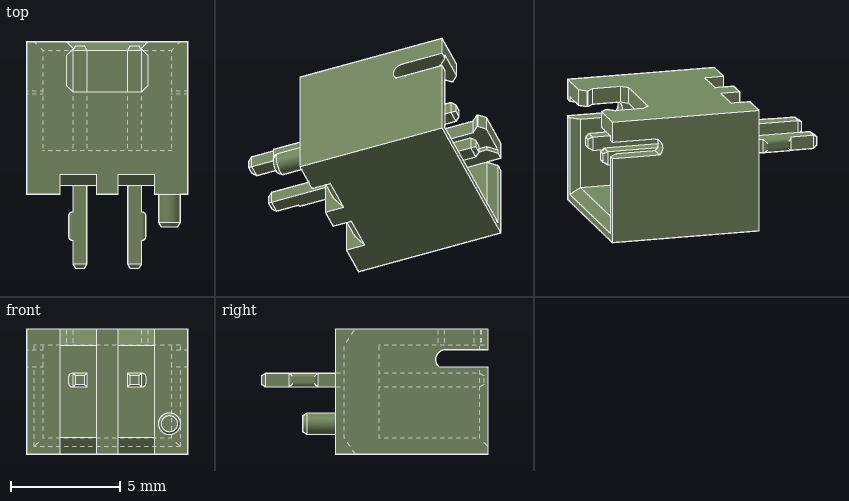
import cadquery as cq
import math

WIDTH = 7.4
DEPTH = 7.0
HEIGHT = 5.75
CENTRE_X = WIDTH / 2

WALL = 0.75
CAVITY_FLOOR_Y = 2.0
RIM_CHAMFER = 0.4

WINDOW_WIDTH = 3.75
WINDOW_DEPTH = 2.3
WINDOW_CHAMFER = 0.3
NECK_START = 0.35

SLOT_TOP_Z = HEIGHT - 0.96
SLOT_BOTTOM_Z = HEIGHT - 1.74
SLOT_RADIUS = 0.45
SLOT_DEPTH = 2.4

GROOVE_WIDTH = 1.67
GROOVE_PITCH = 2.66
GROOVE_DEPTH = 0.4
GROOVE_END_DEPTH = 0.9
GROOVE_RAMP = 0.77

PIN_PITCH = 2.5
PIN_SIZE = 0.64
PIN_Z = 3.4
PIN_REAR_Y = -3.4
PIN_FRONT_Y = 6.8
PIN_TIP_LENGTH = 0.2
PIN_TIP_SIZE = 0.4

WING_THICKNESS = 0.2
WING_LENGTH = 1.32
WING_FRONT_Y = -0.8
WING_FILLET = 0.19

PEG_X = 6.55
PEG_Z = 1.4
PEG_DIAMETER = 1.0
PEG_LENGTH = 1.5
PEG_CHAMFER_LENGTH = 0.2
PEG_CHAMFER_INSET = 0.13


def box_between(low, high):
    """Axis-aligned box between two opposite corners."""
    size = [b - a for a, b in zip(low, high)]
    return cq.Workplane("XY").box(*size, centered=False).translate(tuple(low))


def make_cavity():
    """Rectangular cavity with a 45 degree lead-in on its side and lower walls."""
    cavity_top_z = HEIGHT - WALL
    cavity = box_between(
        (WALL, CAVITY_FLOOR_Y, WALL),
        (WIDTH - WALL, DEPTH, cavity_top_z),
    )
    cavity_width = WIDTH - 2 * WALL
    cavity_height = HEIGHT - 2 * WALL
    mouth_width = cavity_width + 2 * RIM_CHAMFER
    mouth_height = cavity_height + RIM_CHAMFER
    mouth_centre_z = cavity_top_z - mouth_height / 2
    cavity_centre_z = cavity_top_z - cavity_height / 2
    lead_in = (
        cq.Workplane("XZ", origin=(CENTRE_X, DEPTH, 0))
        .center(0, mouth_centre_z)
        .rect(mouth_width, mouth_height)
        .workplane(offset=RIM_CHAMFER)
        .center(0, cavity_centre_z - mouth_centre_z)
        .rect(cavity_width, cavity_height)
        .loft(ruled=True)
    )
    return cavity.union(lead_in)


def make_window():
    """Upper-wall window: chamfered inner corners and a pinched mouth."""
    half = WINDOW_WIDTH / 2
    narrow = half - WINDOW_CHAMFER
    floor_y = DEPTH - WINDOW_DEPTH
    neck_y = DEPTH - NECK_START
    right_side = [
        (narrow, floor_y),
        (half, floor_y + WINDOW_CHAMFER),
        (half, neck_y - WINDOW_CHAMFER),
        (narrow, neck_y),
        (narrow, DEPTH - WINDOW_CHAMFER),
        (half, DEPTH),
    ]
    left_side = [(-x, y) for x, y in reversed(right_side)]
    return (
        cq.Workplane("XY")
        .polyline(right_side + left_side)
        .close()
        .extrude(2 * WALL)
        .translate((CENTRE_X, 0, HEIGHT - 2 * WALL))
    )


def make_side_slot():
    """Slot across the full width, its inner end an arc cut off by the flat floor."""
    end_y = DEPTH - SLOT_DEPTH
    arc_y = end_y + SLOT_RADIUS
    arc_z = SLOT_TOP_Z - SLOT_RADIUS
    drop = arc_z - SLOT_BOTTOM_Z
    floor_end_y = arc_y - math.sqrt(SLOT_RADIUS**2 - drop**2)
    return (
        cq.Workplane("YZ")
        .moveTo(DEPTH, SLOT_TOP_Z)
        .lineTo(arc_y, SLOT_TOP_Z)
        .threePointArc((end_y, arc_z), (floor_end_y, SLOT_BOTTOM_Z))
        .lineTo(DEPTH, SLOT_BOTTOM_Z)
        .close()
        .extrude(WIDTH)
    )


def make_groove(side):
    """Rear groove that deepens along a ramp towards its upper and lower ends."""
    centre_x = CENTRE_X + side * GROOVE_PITCH / 2
    return (
        cq.Workplane("YZ")
        .polyline(
            [
                (0, 0),
                (GROOVE_END_DEPTH, 0),
                (GROOVE_DEPTH, GROOVE_RAMP),
                (GROOVE_DEPTH, HEIGHT - GROOVE_RAMP),
                (GROOVE_END_DEPTH, HEIGHT),
                (0, HEIGHT),
            ]
        )
        .close()
        .extrude(GROOVE_WIDTH)
        .translate((centre_x - GROOVE_WIDTH / 2, 0, 0))
    )


def make_pin(side):
    """Square pin with tapered tips and a rounded wing on its outer side."""
    half = PIN_SIZE / 2
    bar = box_between(
        (-half, PIN_REAR_Y + PIN_TIP_LENGTH, -half),
        (half, PIN_FRONT_Y - PIN_TIP_LENGTH, half),
    )
    for end_face in ("<Y", ">Y"):
        tip = (
            bar.faces(end_face)
            .workplane()
            .rect(PIN_SIZE, PIN_SIZE)
            .workplane(offset=PIN_TIP_LENGTH)
            .rect(PIN_TIP_SIZE, PIN_TIP_SIZE)
            .loft(ruled=True, combine=False)
        )
        bar = bar.union(tip)
    wing = (
        box_between(
            (0, WING_FRONT_Y - WING_LENGTH, -half),
            (half + WING_THICKNESS, WING_FRONT_Y, half),
        )
        .faces(">X")
        .edges()
        .fillet(WING_FILLET)
    )
    pin = bar.union(wing)
    if side < 0:
        pin = pin.mirror("YZ")
    return pin.translate((CENTRE_X + side * PIN_PITCH / 2, 0, PIN_Z))


def make_peg():
    """Round locating peg with a tapered end, a solid of revolution about Y."""
    radius = PEG_DIAMETER / 2
    return (
        cq.Workplane("XY")
        .polyline(
            [
                (0, 0),
                (radius, 0),
                (radius, PEG_CHAMFER_LENGTH - PEG_LENGTH),
                (radius - PEG_CHAMFER_INSET, -PEG_LENGTH),
                (0, -PEG_LENGTH),
            ]
        )
        .close()
        .revolve(360, (0, 0, 0), (0, 1, 0))
        .translate((PEG_X, 0, PEG_Z))
    )


result = box_between((0, 0, 0), (WIDTH, DEPTH, HEIGHT))
result = result.cut(make_cavity()).cut(make_window()).cut(make_side_slot())
for side in (-1, 1):
    result = result.cut(make_groove(side))
for side in (-1, 1):
    result = result.union(make_pin(side))
result = result.union(make_peg())